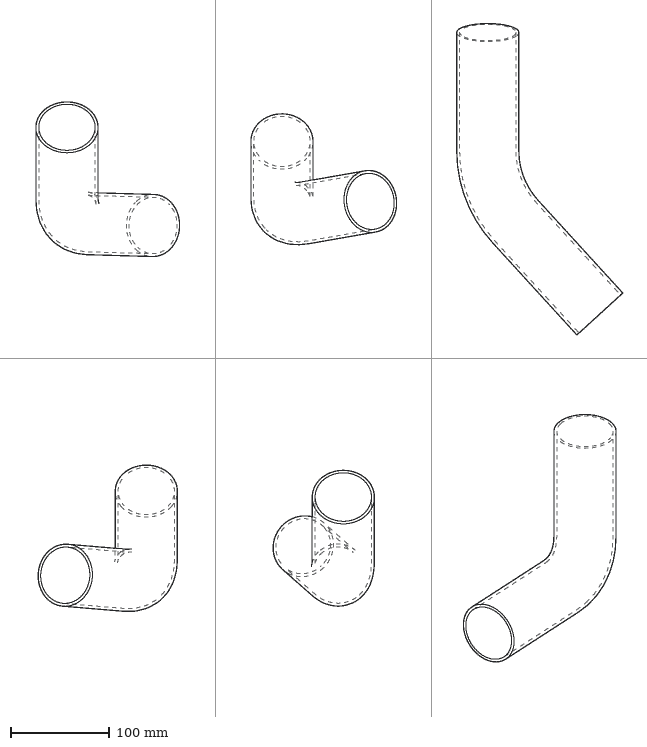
import cadquery as cq
import math

OUTER_DIAMETER = 63.5
INNER_DIAMETER = 57.4
LEG_LENGTH = 127.0
BEND_RADIUS = 101.6
BEND_ANGLE = 45.0


def centreline():
    """Path in the YZ plane: down the vertical leg, round the bend, along the sloping leg."""
    angle = math.radians(BEND_ANGLE)

    def bend_point(turn):
        return (BEND_RADIUS * (1 - math.cos(turn)), -BEND_RADIUS * math.sin(turn))

    bend_end = bend_point(angle)
    leg_end = (
        bend_end[0] + LEG_LENGTH * math.sin(angle),
        bend_end[1] - LEG_LENGTH * math.cos(angle),
    )
    return (
        cq.Workplane("YZ")
        .moveTo(0, LEG_LENGTH)
        .lineTo(0, 0)
        .threePointArc(bend_point(angle / 2), bend_end)
        .lineTo(*leg_end)
    )


def bent_tube():
    """Ring section swept along the centreline, open at both ends."""
    return (
        cq.Workplane("XY", origin=(0, 0, LEG_LENGTH))
        .circle(OUTER_DIAMETER / 2)
        .circle(INNER_DIAMETER / 2)
        .sweep(centreline())
    )


result = bent_tube()